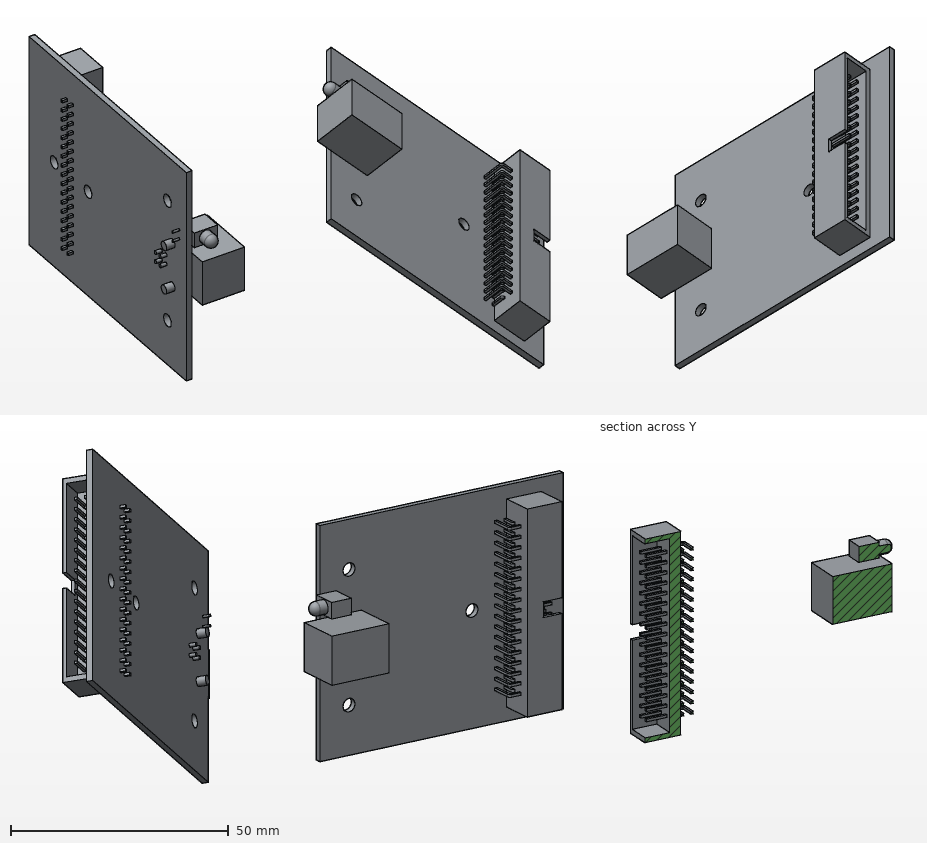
import cadquery as cq

OVERALL_LENGTH = 71.95

BOARD_LENGTH = 67.15
BOARD_HEIGHT = 57.4
BOARD_THICKNESS = 1.6
HOLE_DIAMETER = 3.25
CENTRE_HOLE_XS = (10.7, 25.2)
CORNER_HOLE_X = 59.1
CORNER_HOLE_Z = 16.5

HEADER_X = 6.1
HEADER_LENGTH = 9.5
HEADER_RISE = 8.55
HEADER_HEIGHT = 50.6
CAVITY_DEPTH = 6.5
CAVITY_HEIGHT = 48.0
CAVITY_FRONT_WALL = 1.4
CAVITY_BACK_WALL = 0.9
KEY_NOTCH_HEIGHT = 3.8
KEY_NOTCH_DEPTH = 5.05
PIN_SIZE = 0.65
PIN_BEND_RADIUS = 0.64
PIN_ROWS = 17
PIN_COLUMN_LENGTH = 40.65
PIN_PITCH = PIN_COLUMN_LENGTH / (PIN_ROWS - 1)
PIN_TIP_RECESS = 1.0
PIN_TAIL = 1.4
INNER_PIN_X = 16.05
INNER_PIN_Y = 4.75

USB_X = 55.7
USB_LENGTH = 15.75
USB_RISE = 11.5
USB_HEIGHT = 11.95
PEG_X = 61.2
PEG_SPACING = 11.95
PEG_DIAMETER = 2.3
PEG_LENGTH = 2.3
USB_PIN_XS = (56.4, 58.4)
USB_PIN_SPACING = 2.5
USB_PIN_DIAMETER = 0.9
USB_PIN_TAIL = 1.6

LAMP_Z = 10.0
LAMP_Y = 4.7
LAMP_DIAMETER = 3.45
HOLDER_X = 62.7
HOLDER_LENGTH = 5.4
HOLDER_RISE = 6.3
HOLDER_HEIGHT = 4.0
LAMP_LEAD_X = 64.05
LAMP_LEAD_DIAMETER = 0.6
LAMP_LEAD_SPACING = 2.5
LAMP_LEAD_TAIL = 1.8


def block(x, y, z_centre, length, depth, height):
    """Box from its low X and Y corner, centred on z_centre in height."""
    box = cq.Workplane("XY").box(length, depth, height, centered=(False, False, True))
    return box.translate((x, y, z_centre))


def rods_along_y(points, diameter, y_start, y_end):
    """Round rods parallel to Y at the given (X, Z) points."""
    plane = cq.Workplane("XZ", origin=(0, y_start, 0))
    return plane.pushPoints(points).circle(diameter / 2).extrude(y_start - y_end)


def make_board():
    board = block(0, 0, 0, BOARD_LENGTH, BOARD_THICKNESS, BOARD_HEIGHT)
    holes = [(x, 0) for x in CENTRE_HOLE_XS]
    holes += [(CORNER_HOLE_X, side * CORNER_HOLE_Z) for side in (-1, 1)]
    return board.cut(rods_along_y(holes, HOLE_DIAMETER, 0, BOARD_THICKNESS))


def make_shroud():
    shroud = block(HEADER_X, BOARD_THICKNESS, 0, HEADER_LENGTH, HEADER_RISE, HEADER_HEIGHT)
    cavity_y = BOARD_THICKNESS + CAVITY_FRONT_WALL
    cavity_width = HEADER_RISE - CAVITY_FRONT_WALL - CAVITY_BACK_WALL
    cavity = block(HEADER_X, cavity_y, 0, CAVITY_DEPTH, cavity_width, CAVITY_HEIGHT)
    key_notch = block(
        HEADER_X, cavity_y + cavity_width, 0, KEY_NOTCH_DEPTH, CAVITY_BACK_WALL, KEY_NOTCH_HEIGHT
    )
    return shroud.cut(cavity).cut(key_notch)


def bent_pin(x, y):
    """Square pin at Z = 0: a contact along X at height y, bent into a leg along Y at x."""
    half = PIN_SIZE / 2
    tip_x = HEADER_X + PIN_TIP_RECESS
    contact = block(tip_x, y - half, 0, x + half - tip_x, PIN_SIZE, PIN_SIZE)
    leg = block(x - half, -PIN_TAIL, 0, PIN_SIZE, y + half + PIN_TAIL, PIN_SIZE)
    return contact.union(leg).edges(">X and >Y").fillet(PIN_BEND_RADIUS)


def make_header():
    header = make_shroud()
    for column in range(2):
        offset = column * PIN_PITCH
        pin = bent_pin(INNER_PIN_X + offset, INNER_PIN_Y + offset)
        for row in range(PIN_ROWS):
            z = row * PIN_PITCH - PIN_COLUMN_LENGTH / 2
            header = header.union(pin.translate((0, 0, z)))
    return header


def make_usb_socket():
    socket = block(USB_X, BOARD_THICKNESS, 0, USB_LENGTH, USB_RISE, USB_HEIGHT)
    pegs = [(PEG_X, side * PEG_SPACING / 2) for side in (-1, 1)]
    pins = [(x, side * USB_PIN_SPACING / 2) for x in USB_PIN_XS for side in (-1, 1)]
    socket = socket.union(rods_along_y(pegs, PEG_DIAMETER, -PEG_LENGTH, BOARD_THICKNESS))
    return socket.union(rods_along_y(pins, USB_PIN_DIAMETER, -USB_PIN_TAIL, BOARD_THICKNESS))


def make_lamp():
    lamp = block(HOLDER_X, BOARD_THICKNESS, LAMP_Z, HOLDER_LENGTH, HOLDER_RISE, HOLDER_HEIGHT)
    radius = LAMP_DIAMETER / 2
    holder_end = HOLDER_X + HOLDER_LENGTH
    dome_x = OVERALL_LENGTH - radius
    bulb = (
        cq.Workplane("XY", origin=(0, LAMP_Y, LAMP_Z))
        .moveTo(holder_end, 0)
        .lineTo(holder_end, radius)
        .lineTo(dome_x, radius)
        .radiusArc((OVERALL_LENGTH, 0), radius)
        .close()
        .revolve(360, (0, 0, 0), (1, 0, 0))
    )
    lamp = lamp.union(bulb)
    leads = [(LAMP_LEAD_X, LAMP_Z + side * LAMP_LEAD_SPACING / 2) for side in (-1, 1)]
    return lamp.union(rods_along_y(leads, LAMP_LEAD_DIAMETER, -LAMP_LEAD_TAIL, BOARD_THICKNESS))


result = make_board().union(make_header()).union(make_usb_socket()).union(make_lamp())